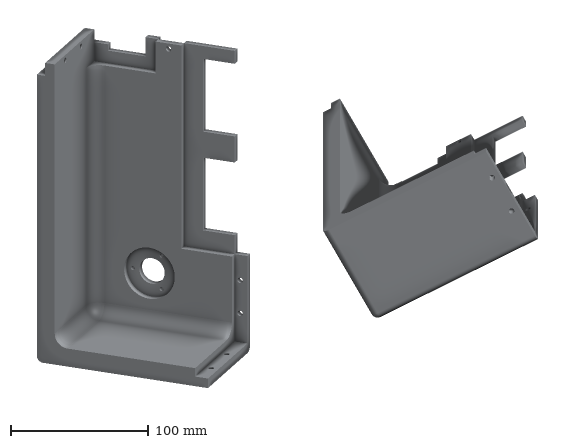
import cadquery as cq
import math

length = 135.0
depth = 80.0
height = 235.0

wall = 14.0
layer = 5.0
back = 10.0
inner_radius = 10.0
outer_radius = 5.0

step = 10.0
ledge = 7.5
lip_top = 76.0
lip_x = length - step
layer_y = depth - layer
inner_y = depth - back

inner_right = 84.8
web_right = 99.9
tab_gap = 56.9
lower_tab_top = 90.7
gap_bottoms = (lower_tab_top, height - step - tab_gap)

rebate_right = 64.5
rebate_bottom = 210.0
notch_left = 25.0
notch_right = 54.5
notch_bottom = 220.0

screw_diameter = 4.2
screw_inset = 4.2
plate_screw_x = 74.7
wall_screw_y = (20.0, 49.8)
lip_screw_z = (30.0, 56.0)
lip_screw_x = lip_x + screw_inset

seat_x = 59.7
seat_z = 52.9
seat_diameter = 40.0
seat_depth = 5.0
bore_diameter = 20.0
pin_diameter = 3.0
pin_circle_radius = 15.0
pin_count = 3


def block(x0, x1, y0, y1, z0, z1):
    """Box spanning the given limits along X, Y and Z."""
    return cq.Workplane("XY").box(x1 - x0, y1 - y0, z1 - z0, centered=False).translate((x0, y0, z0))


def cylinder(diameter, span, start, direction):
    """Round cutter running from start along direction."""
    return cq.Workplane(cq.Solid.makeCylinder(diameter / 2, span, cq.Vector(*start), cq.Vector(*direction)))


def back_hole(diameter, x, z, start_y=0):
    """Cutter running backwards through the back plate."""
    return cylinder(diameter, depth - start_y, (x, start_y, z), (0, 1, 0))


def make_shell():
    """Left wall, floor and back plate with rounded corners inside and outside."""
    outside = block(0, length, 0, depth, 0, height)
    outside = outside.edges("(<X and >Y) or (<X and <Z) or (>Y and <Z)").fillet(outer_radius)
    cavity = block(wall, length + wall, -wall, inner_y, wall, height + wall)
    cavity = cavity.edges("(<X and >Y) or (<X and <Z) or (>Y and <Z)").fillet(inner_radius)
    return outside.cut(cavity)


def cut_joint_steps(body):
    """Lips at the top of the left wall and at the right end, and rebates of the inner layer."""
    body = body.cut(block(0, wall - ledge, 0, layer_y, height - step, height))
    body = body.cut(block(0, notch_left, layer_y, depth, height - step, height))
    body = body.cut(block(wall, rebate_right, 0, layer_y, rebate_bottom, height))
    body = body.cut(block(inner_right, length, 0, layer_y, lip_top, height))
    return body.cut(block(lip_x, length, 0, layer_y, ledge, height))


def cut_back_outline(body):
    """Top notch, rear step of the screw lip and the gaps between the right-hand tabs."""
    body = body.cut(block(notch_left, notch_right, layer_y, depth, notch_bottom, height))
    body = body.cut(block(rebate_right, inner_right, layer_y, depth, height - step, height))
    body = body.cut(block(lip_x, length, layer_y, depth, lip_top, height))
    for bottom in gap_bottoms:
        body = body.cut(block(web_right, length, layer_y, depth, bottom, bottom + tab_gap))
    return body


def cut_seat(body):
    """Shallow round recess with a central bore and a ring of pin holes."""
    body = body.cut(cylinder(seat_diameter, seat_depth, (seat_x, inner_y, seat_z), (0, 1, 0)))
    body = body.cut(back_hole(bore_diameter, seat_x, seat_z))
    for i in range(pin_count):
        angle = math.pi + 2 * math.pi * i / pin_count
        x = seat_x + pin_circle_radius * math.cos(angle)
        z = seat_z + pin_circle_radius * math.sin(angle)
        body = body.cut(back_hole(pin_diameter, x, z))
    return body


def cut_screw_holes(body):
    """Screw holes through the back plate, the right-hand lips and the left wall lip."""
    top_screw_z = height - screw_inset
    body = body.cut(back_hole(screw_diameter, plate_screw_x, top_screw_z))
    for z in lip_screw_z:
        body = body.cut(back_hole(screw_diameter, lip_screw_x, z, layer_y))
    for y in wall_screw_y:
        body = body.cut(cylinder(screw_diameter, wall, (0, y, top_screw_z), (1, 0, 0)))
        body = body.cut(cylinder(screw_diameter, ledge, (lip_screw_x, y, 0), (0, 0, 1)))
    return body


result = cut_screw_holes(cut_seat(cut_back_outline(cut_joint_steps(make_shell()))))